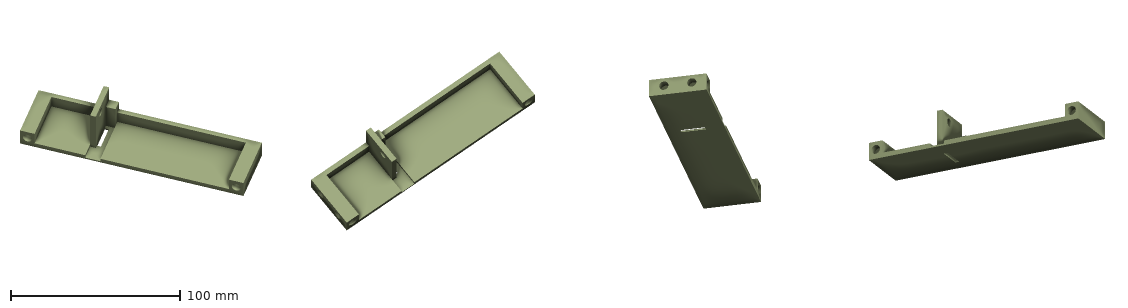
import cadquery as cq

length = 139.0
depth = 35.0
tray_height = 11.0
floor_thickness = 3.0
back_wall = 3.0
end_block = 9.0

groove_start = 40.5
groove_floor = 1.0

plate_thickness = 3.5
plate_width = 25.5
plate_top = 27.5
stop_thickness = 6.0
stop_width = 6.3
stop_top = 17.0
plate_end = groove_start + plate_thickness
groove_end = plate_end + stop_thickness

slot_width = 2.5
slot_length = 15.0
slot_from_back = 8.5

plate_hole_diameter = 5.2
plate_hole_from_back = 16.5
plate_hole_height = 22.5

end_hole_diameter = 5.6
end_hole_depth = 5.0
end_hole_height = 6.0
front_hole_inset = end_block / 2
side_hole_inset = 9.0


def box_between(start, end):
    """Axis-aligned box between two opposite corners."""
    sizes = [b - a for a, b in zip(start, end)]
    return cq.Workplane("XY").box(*sizes, centered=False).translate(start)


def drill(diameter, hole_depth, start, direction):
    """Cylinder used to cut a hole from a start point along a direction."""
    cylinder = cq.Solid.makeCylinder(diameter / 2, hole_depth, cq.Vector(*start), cq.Vector(*direction))
    return cq.Workplane("XY").add(cylinder)


def make_tray():
    """Open-front tray with a pocket and a cross groove cut in its floor."""
    body = box_between((0, 0, 0), (length, depth, tray_height))
    pocket = box_between(
        (end_block, 0, floor_thickness),
        (length - end_block, depth - back_wall, tray_height),
    )
    groove = box_between(
        (groove_start, 0, groove_floor),
        (groove_end, depth - back_wall, floor_thickness),
    )
    return body.cut(pocket).cut(groove)


def make_bracket():
    """Upright plate with its stop block, both standing on the groove floor."""
    plate = box_between(
        (groove_start, depth - plate_width, groove_floor),
        (plate_end, depth, plate_top),
    )
    stop = box_between(
        (plate_end, depth - stop_width, groove_floor),
        (groove_end, depth, stop_top),
    )
    return plate.union(stop)


def cut_slot(part):
    """Rectangular slot through the groove floor."""
    slot_back = depth - slot_from_back
    slot = box_between(
        (plate_end, slot_back - slot_length, 0),
        (plate_end + slot_width, slot_back, groove_floor),
    )
    return part.cut(slot)


def cut_plate_hole(part):
    """Round hole through the plate along X."""
    start = (groove_start, depth - plate_hole_from_back, plate_hole_height)
    return part.cut(drill(plate_hole_diameter, plate_thickness, start, (1, 0, 0)))


def cut_end_holes(part):
    """Blind holes: one in the front of each end block, two in the left end face."""
    for x in (front_hole_inset, length - front_hole_inset):
        start = (x, 0, end_hole_height)
        part = part.cut(drill(end_hole_diameter, end_hole_depth, start, (0, 1, 0)))
    for y in (side_hole_inset, depth - side_hole_inset):
        start = (0, y, end_hole_height)
        part = part.cut(drill(end_hole_diameter, end_hole_depth, start, (1, 0, 0)))
    return part


result = make_tray().union(make_bracket())
result = cut_slot(result)
result = cut_plate_hole(result)
result = cut_end_holes(result)